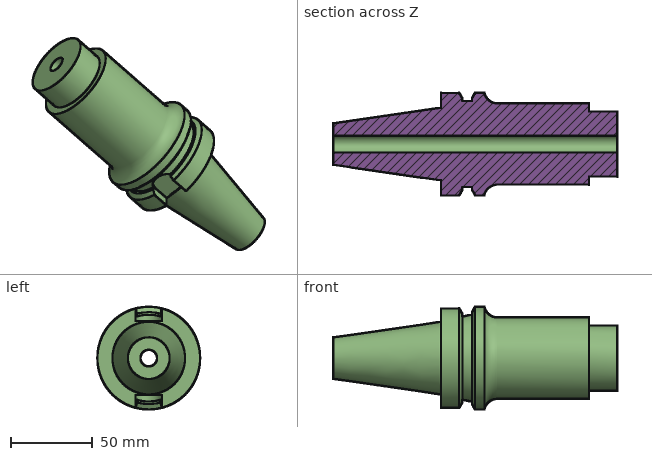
import cadquery as cq
import math


overall_length = 173.74
taper_length = 64.9
taper_large_radius = 44.45 / 2
taper_ratio = 7 / 24
taper_small_radius = taper_large_radius - taper_length * taper_ratio / 2
shank_land_length = 1.0

flange_radius = 31.5
flange_face_x = shank_land_length
flange_width = 26.6
flange_back_x = flange_face_x + flange_width
groove_floor_radius = 26.5
groove_floor_width = 5.8
groove_center_x = flange_face_x + 16.0
groove_bevel_depth = 3.4
groove_bevel_angle = 30
groove_bevel_width = groove_bevel_depth * math.tan(math.radians(groove_bevel_angle))
groove_left_x = groove_center_x - groove_floor_width / 2
groove_right_x = groove_center_x + groove_floor_width / 2

body_radius = 25.0
neck_arc_radius = 8.0
nose_radius = 20.0
nose_length = 17.3
bore_radius = 5.0
nose_end_x = overall_length - taper_length
body_end_x = nose_end_x - nose_length

slot_width = 16.1
slot_floor_height = 22.6
slot_length = 17.5


def make_revolved_body():
    """Revolve the outer half profile about the X axis."""
    arc_center_radius = body_radius + neck_arc_radius
    arc_rise = arc_center_radius - flange_radius
    arc_start_angle = math.asin(arc_rise / neck_arc_radius)
    arc_end_x = flange_back_x + neck_arc_radius * math.cos(arc_start_angle)
    arc_mid_angle = (arc_start_angle + math.pi / 2) / 2
    arc_mid = (
        arc_end_x - neck_arc_radius * math.cos(arc_mid_angle),
        arc_center_radius - neck_arc_radius * math.sin(arc_mid_angle),
    )
    bevel_root_radius = flange_radius - groove_bevel_depth

    profile = (
        cq.Workplane("XY")
        .moveTo(-taper_length, 0)
        .lineTo(-taper_length, taper_small_radius)
        .lineTo(0, taper_large_radius)
        .lineTo(flange_face_x, taper_large_radius)
        .lineTo(flange_face_x, flange_radius)
        .lineTo(groove_left_x - groove_bevel_width, flange_radius)
        .lineTo(groove_left_x, bevel_root_radius)
        .lineTo(groove_left_x, groove_floor_radius)
        .lineTo(groove_right_x, groove_floor_radius)
        .lineTo(groove_right_x, bevel_root_radius)
        .lineTo(groove_right_x + groove_bevel_width, flange_radius)
        .lineTo(flange_back_x, flange_radius)
        .threePointArc(arc_mid, (arc_end_x, body_radius))
        .lineTo(body_end_x, body_radius)
        .lineTo(body_end_x, nose_radius)
        .lineTo(nose_end_x, nose_radius)
        .lineTo(nose_end_x, 0)
        .close()
    )
    return profile.revolve(360, (0, 0, 0), (1, 0, 0))


def make_bore():
    """Through bore along the whole axis."""
    return (
        cq.Workplane("YZ", origin=(-taper_length, 0, 0))
        .circle(bore_radius)
        .extrude(overall_length)
    )


def make_top_slot():
    """Flat-floored slot, open at the flange face, with a half-round inner end."""
    half_width = slot_width / 2
    slot_end_x = flange_face_x + slot_length
    round_start_x = slot_end_x - half_width
    return (
        cq.Workplane("XY", origin=(0, 0, slot_floor_height))
        .moveTo(flange_face_x, -half_width)
        .lineTo(round_start_x, -half_width)
        .threePointArc((slot_end_x, 0), (round_start_x, half_width))
        .lineTo(flange_face_x, half_width)
        .close()
        .extrude(flange_radius - slot_floor_height)
    )


top_slot = make_top_slot()
bottom_slot = top_slot.mirror("XY")
result = make_revolved_body().cut(make_bore()).cut(top_slot).cut(bottom_slot)